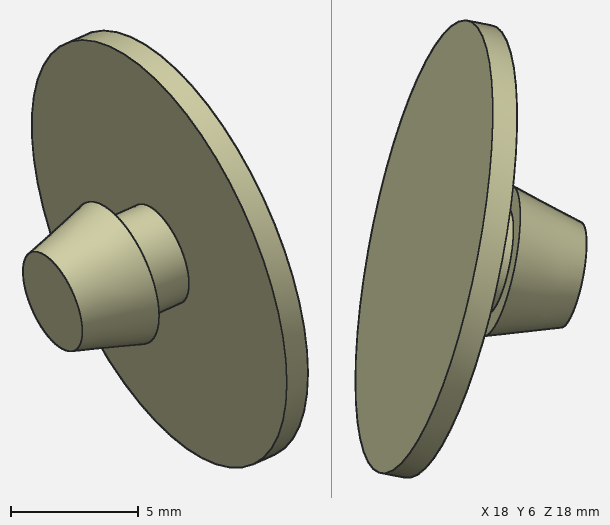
import cadquery as cq

cap_diameter = 18.0
cap_thickness = 1.0
stem_diameter = 4.2
stem_length = 2.0
head_diameter = 6.0
head_length = 3.0
tip_diameter = stem_diameter

cap_back_y = cap_thickness
shoulder_y = -stem_length
tip_y = shoulder_y - head_length


def plug_profile():
    """Half section of the plug in the XY plane, closed along the Y axis."""
    return (
        cq.Workplane("XY")
        .moveTo(0, cap_back_y)
        .lineTo(cap_diameter / 2, cap_back_y)
        .lineTo(cap_diameter / 2, 0)
        .lineTo(stem_diameter / 2, 0)
        .lineTo(stem_diameter / 2, shoulder_y)
        .lineTo(head_diameter / 2, shoulder_y)
        .lineTo(tip_diameter / 2, tip_y)
        .lineTo(0, tip_y)
        .close()
    )


result = plug_profile().revolve(360, (0, 0, 0), (0, 1, 0))